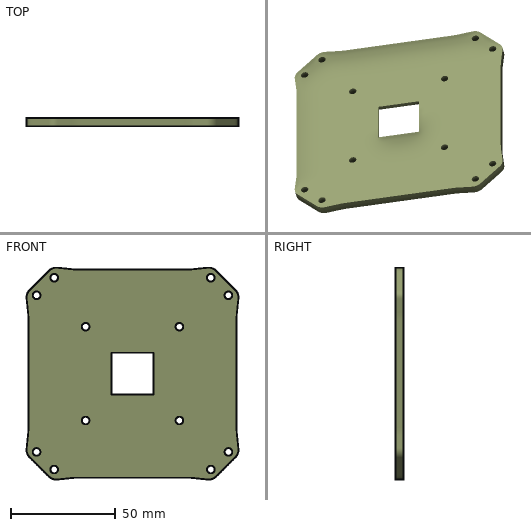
import cadquery as cq
import math

overall_size = 101.7
thickness = 4.1
straight_side_half = 49.9
corner_radius = 5.0
corner_centre_offset = 36.5
flare_angle = math.radians(6)
flare_radius = 30.0
window_size = 19.9
recess_size = 30.0
recess_depth = 2.0
hole_diameter = 3.6
inner_hole_spacing = 45.0
outer_hole_far = 46.0
outer_hole_near = 37.5

round_centre = overall_size / 2 - corner_radius
flare_offset = (
    round_centre * math.cos(flare_angle)
    - corner_centre_offset * math.sin(flare_angle)
    + corner_radius
)
flare_start = (straight_side_half * math.cos(flare_angle) - flare_offset) / math.sin(flare_angle)
diagonal_sum = round_centre + corner_centre_offset + corner_radius * math.sqrt(2)
flare_slope = math.tan(flare_angle)
tip_far = (straight_side_half + flare_slope * (diagonal_sum - flare_start)) / (1 + flare_slope)
tip_near = diagonal_sum - tip_far


def quarter_turns(point, turns):
    """Rotate a point about the plate centre by a number of quarter turns."""
    x, z = point
    for _ in range(turns):
        x, z = -z, x
    return x, z


def round_edges(body, points, radius):
    """Round the thickness-direction edges through the given outline points."""
    for x, z in points:
        edge = cq.selectors.NearestToPointSelector((x, 0, z))
        body = body.edges("|Y").edges(edge).fillet(radius)
    return body


side_points = [
    (straight_side_half, -flare_start),
    (straight_side_half, flare_start),
    (tip_far, tip_near),
    (tip_near, tip_far),
]
outline = [quarter_turns(point, turns) for turns in range(4) for point in side_points]
flare_points = [p for i, p in enumerate(outline) if i % 4 < 2]
tip_points = [p for i, p in enumerate(outline) if i % 4 >= 2]

plate = cq.Workplane("XZ").polyline(outline).close().extrude(thickness / 2, both=True)
plate = round_edges(plate, flare_points, flare_radius)
plate = round_edges(plate, tip_points, corner_radius)

window = cq.Workplane("XZ").rect(window_size, window_size).extrude(thickness, both=True)

recess = cq.Workplane("XY").box(recess_size, recess_depth, recess_size)
recess = recess.translate((0, (thickness - recess_depth) / 2, 0))

inner_hole = (inner_hole_spacing / 2, inner_hole_spacing / 2)
corner_holes = [(outer_hole_far, outer_hole_near), (outer_hole_near, outer_hole_far)]
hole_points = [quarter_turns(p, turns) for turns in range(4) for p in [inner_hole] + corner_holes]
holes = (
    cq.Workplane("XZ")
    .pushPoints(hole_points)
    .circle(hole_diameter / 2)
    .extrude(thickness, both=True)
)

result = plate.cut(window).cut(recess).cut(holes)